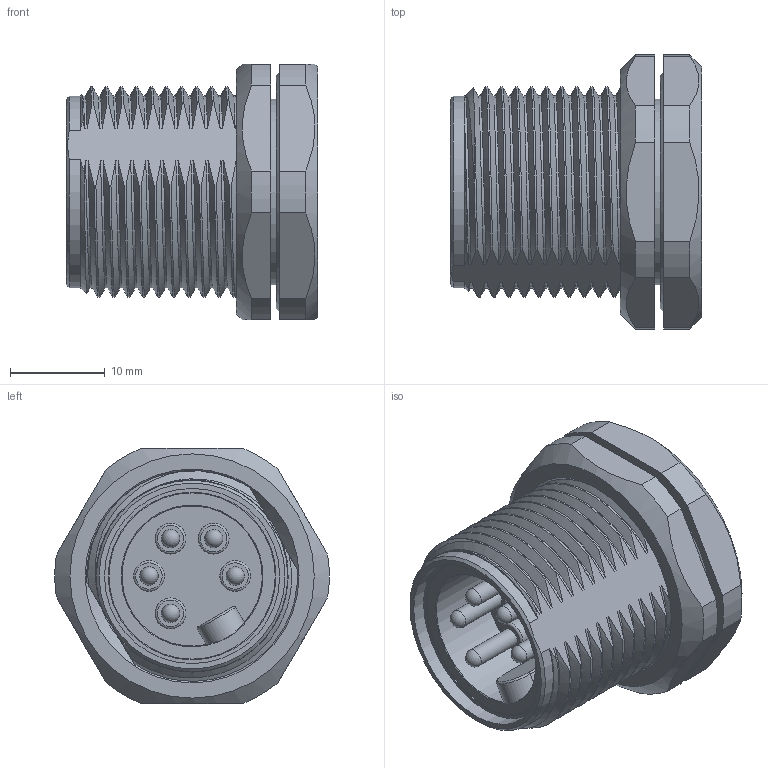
import cadquery as cq
import math


total_length = 26.5
across_flats = 27.0
corner_radius = 14.48

head_length = 4.0
head_chamfer = 1.25
nut_front = 17.92
nut_length = 3.65
nut_chamfer = 1.6
nut_bore_mouth_radius = 11.28
seat_radius = 12.65
seat_length = 0.35
seat_chamfer = 0.34
neck_radius = 9.78

inch = 25.4
thread_radius = 7 / 8 * inch / 2
pitch = inch / 16
root_radius = 10.14
crest_width = 0.2
flank_half_angle = 30.0
thread_start = 1.5
thread_phase = 1.84
ridge_embed = 0.1
flat_distance = 9.95
flat_elevation = 30.0

collar_radius = 10.1
collar_chamfer = 0.3
mouth_radius = 9.24
mouth_depth = 1.46
socket_radius = 7.4
socket_chamfer = 0.08
floor_depth = 8.8
seam_radius = 8.81
seam_width = 0.08
seam_depth = 0.1

pin_circle_radius = 4.55
pin_radius = 0.97
pin_tip = 1.15
pin_places = [0, 60, 120, 180, 300]
boss_radius = 1.62
boss_height = 1.3
boss_fillet = 0.23

key_angle = 240.0
key_width = 4.63
key_inner_distance = 4.96
key_tip = 1.25
key_fillet = 0.2

head_front = total_length - head_length
seat_front = head_front - seat_length
nut_rear = nut_front + nut_length
thread_end = nut_rear - nut_length / 4


def revolved(points):
    """Solid of revolution about X from (x, radius) outline points."""
    return cq.Workplane("XY").polyline(points).close().revolve(360, (0, 0, 0), (1, 0, 0))


def rod(start, end, radius):
    """Cylinder on the X axis from X = start to X = end."""
    return cq.Workplane("YZ", origin=(start, 0, 0)).circle(radius).extrude(end - start)


def hexagon(start, length):
    """Hexagonal prism along X with two of its flats facing +Z and -Z."""
    across_corners = across_flats / math.cos(math.radians(30))
    return cq.Workplane("YZ", origin=(start, 0, 0)).polygon(6, across_corners).extrude(length)


def make_head():
    turned = rod(head_front, total_length, corner_radius).faces(">X").chamfer(head_chamfer)
    seat = rod(seat_front, head_front, seat_radius).faces("<X").chamfer(seat_chamfer)
    return hexagon(head_front, head_length).intersect(turned).union(seat)


def make_nut():
    turned = rod(nut_front, nut_rear, corner_radius).faces("<X").chamfer(nut_chamfer)
    bore = rod(nut_front, nut_rear, root_radius)
    mouth_chamfer = nut_bore_mouth_radius - root_radius
    mouth = revolved([
        (nut_front, 0),
        (nut_front, nut_bore_mouth_radius),
        (nut_front + mouth_chamfer, root_radius),
        (nut_front + mouth_chamfer, 0),
    ])
    return hexagon(nut_front, nut_length).intersect(turned).cut(bore).cut(mouth)


def make_thread():
    """Right-hand helical ridge, trimmed to a 45 degree lead-in and ending inside the nut."""
    base_radius = root_radius - ridge_embed
    helix_start = thread_phase - 2 * pitch
    helix_length = thread_end + pitch - helix_start
    crest_half = crest_width / 2
    base_half = crest_half + (thread_radius - base_radius) * math.tan(math.radians(flank_half_angle))
    path = cq.Wire.makeHelix(pitch, helix_length, base_radius)
    ridge = (
        cq.Workplane("XZ")
        .polyline([
            (base_radius, -base_half),
            (thread_radius, -crest_half),
            (thread_radius, crest_half),
            (base_radius, base_half),
        ])
        .close()
        .sweep(cq.Workplane(path), isFrenet=True)
        .rotate((0, 0, 0), (0, 1, 0), 90)
        .translate((helix_start, 0, 0))
    )
    outer_radius = thread_radius + 1
    envelope = revolved([
        (thread_start, 0),
        (thread_start, collar_radius),
        (thread_start + outer_radius - collar_radius, outer_radius),
        (thread_end, outer_radius),
        (thread_end, 0),
    ])
    return ridge.intersect(envelope)


def make_flat_trim():
    """Tilted slab between the two anti-rotation flats."""
    slab_size = 4 * corner_radius
    return (
        cq.Workplane("XY")
        .box(slab_size, 2 * flat_distance, slab_size)
        .rotate((0, 0, 0), (1, 0, 0), -flat_elevation)
    )


def make_sleeve():
    collar = rod(0, thread_start, collar_radius).faces("<X").chamfer(collar_chamfer)
    core = rod(thread_start, nut_rear, root_radius)
    neck = rod(nut_rear, head_front, neck_radius)
    return core.union(make_thread()).union(collar).intersect(make_flat_trim()).union(neck)


def make_socket():
    """Space inside the sleeve: wide mouth, step and round socket."""
    return revolved([
        (0, 0),
        (0, mouth_radius),
        (mouth_depth, mouth_radius),
        (mouth_depth, socket_radius + socket_chamfer),
        (mouth_depth + socket_chamfer, socket_radius),
        (floor_depth, socket_radius),
        (floor_depth, 0),
    ])


def make_seam():
    """Narrow ring groove in the step around the socket."""
    seam_end = mouth_depth + seam_depth
    outer = rod(mouth_depth, seam_end, seam_radius + seam_width / 2)
    inner = rod(mouth_depth, seam_end, seam_radius - seam_width / 2)
    return outer.cut(inner)


def make_pin(angle):
    """Round-ended pin in a low boss; the angle runs from +Y towards +Z."""
    boss = rod(floor_depth - boss_height, floor_depth, boss_radius).faces("<X").fillet(boss_fillet)
    shaft = rod(pin_tip + pin_radius, floor_depth, pin_radius)
    dome = cq.Workplane("XY", origin=(pin_tip + pin_radius, 0, 0)).sphere(pin_radius)
    pin = boss.union(shaft).union(dome).translate((0, pin_circle_radius, 0))
    return pin.rotate((0, 0, 0), (1, 0, 0), angle)


def make_key():
    """Block on the socket wall with a half-round nose towards the mating end."""
    half_width = key_width / 2
    nose_centre = key_tip + half_width
    key_outer_distance = socket_radius + socket_chamfer
    key = (
        cq.Workplane("XZ", origin=(0, key_inner_distance, 0))
        .moveTo(floor_depth, -half_width)
        .lineTo(nose_centre, -half_width)
        .threePointArc((key_tip, 0), (nose_centre, half_width))
        .lineTo(floor_depth, half_width)
        .close()
        .extrude(-(key_outer_distance - key_inner_distance))
        .faces("<Y")
        .edges("not >X")
        .fillet(key_fillet)
        .intersect(rod(0, floor_depth, key_outer_distance))
    )
    return key.rotate((0, 0, 0), (1, 0, 0), key_angle)


result = make_sleeve().union(make_nut()).union(make_head()).cut(make_socket()).cut(make_seam())
for place in pin_places:
    result = result.union(make_pin(place))
result = result.union(make_key())